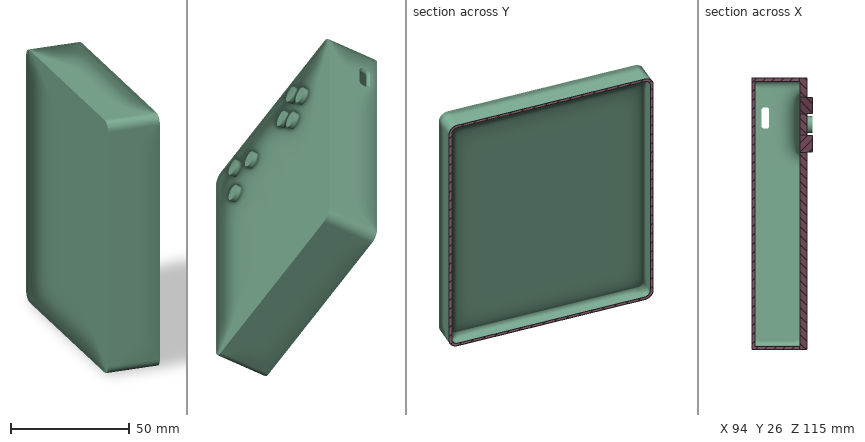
import cadquery as cq

WIDTH = 94.0
HEIGHT = 115.0
TOTAL_DEPTH = 26.0
CORNER_RADIUS = 4.0
WALL = 1.5
LID_THICKNESS = 3.1
BUTTON_PROTRUSION = 2.4
CASE_DEPTH = TOTAL_DEPTH - LID_THICKNESS - BUTTON_PROTRUSION

SLOT_WIDTH = 3.2
SLOT_LENGTH = 8.9
SLOT_RADIUS = 1.0
SLOT_CHAMFER = 1.0
SLOT_Y = 6.0
SLOT_Z = 40.5

BUTTON_DIAMETER = 7.0
ROW_PITCH = 8.0
BUTTON_ROW_Z = 37.7
PAD_X = -19.0
PAD_COLUMN_PITCH = 7.7
TRIANGLE_X = 15.3
TRIANGLE_RUN = 13.7

BUTTON_CENTRES = [
    (PAD_X - PAD_COLUMN_PITCH, BUTTON_ROW_Z),
    (PAD_X + PAD_COLUMN_PITCH, BUTTON_ROW_Z),
    (PAD_X, BUTTON_ROW_Z - ROW_PITCH),
    (PAD_X, BUTTON_ROW_Z + ROW_PITCH),
    (TRIANGLE_X, BUTTON_ROW_Z),
    (TRIANGLE_X + TRIANGLE_RUN, BUTTON_ROW_Z - ROW_PITCH),
    (TRIANGLE_X + TRIANGLE_RUN, BUTTON_ROW_Z + ROW_PITCH),
]


def rounded_plate(front, thickness, inset=0):
    """Plate with rounded corners from y = front, its outline inset from the enclosure outline."""
    return (
        cq.Workplane("XZ", origin=(0, front, 0))
        .rect(WIDTH - 2 * inset, HEIGHT - 2 * inset)
        .extrude(-thickness)
        .edges("|Y")
        .fillet(CORNER_RADIUS - inset)
    )


def slot_cutter():
    """Rounded slot through the -X wall, flared at 45 degrees on the outside."""
    opening = (
        cq.Workplane("YZ", origin=(-WIDTH / 2, SLOT_Y, SLOT_Z))
        .rect(SLOT_WIDTH, SLOT_LENGTH)
        .extrude(WALL)
        .edges("|X")
        .fillet(SLOT_RADIUS)
    )
    flare = (
        cq.Workplane("YZ", origin=(-WIDTH / 2, SLOT_Y, SLOT_Z))
        .sketch()
        .rect(SLOT_WIDTH + 2 * SLOT_CHAMFER, SLOT_LENGTH + 2 * SLOT_CHAMFER)
        .vertices()
        .fillet(SLOT_RADIUS + SLOT_CHAMFER)
        .finalize()
        .extrude(SLOT_CHAMFER, taper=45)
    )
    return opening.union(flare)


def button(x, z):
    """Round button passing through the lid and standing out behind it."""
    return (
        cq.Workplane("XZ", origin=(x, CASE_DEPTH, z))
        .circle(BUTTON_DIAMETER / 2)
        .extrude(-(LID_THICKNESS + BUTTON_PROTRUSION))
    )


def hollow_case():
    """Tray with a front face and four walls, open at the back."""
    cavity = rounded_plate(WALL, CASE_DEPTH - WALL, inset=WALL)
    return rounded_plate(0, CASE_DEPTH).cut(cavity).cut(slot_cutter())


def lid_with_holes():
    """Flat lid on the back of the case, with a matching hole for each button."""
    lid_plate = rounded_plate(CASE_DEPTH, LID_THICKNESS)
    for x, z in BUTTON_CENTRES:
        lid_plate = lid_plate.cut(button(x, z))
    return lid_plate


case = hollow_case()
lid = lid_with_holes()
buttons = [button(x, z) for x, z in BUTTON_CENTRES]

result = cq.Compound.makeCompound([case.val(), lid.val(), *[each.val() for each in buttons]])